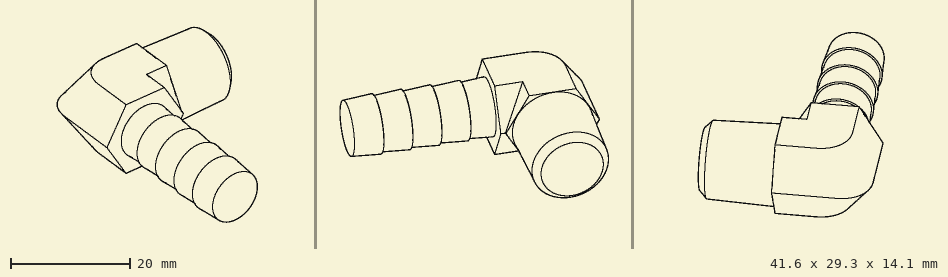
import cadquery as cq
import math

overall_x = 41.55
overall_y = 29.25
hex_flats = 14.1
hex_corner_radius = hex_flats / math.sqrt(3)

hose_leg_end = 8.95
thread_leg_end = 8.3
bend_setback = 5.5
bend_radius = bend_setback * 2 / math.sqrt(3)

thread_end = overall_y - hex_corner_radius
thread_base_radius = 7.0
thread_tip_radius = 6.65
thread_chamfer = 1.25

hose_end = overall_x - hex_corner_radius
barb_count = 4
barb_pitch = 5.03
barb_large_radius = 5.15
barb_small_radius = 4.78


def hexagonal_leg(end):
    """Hexagonal bar along X, with flats facing +Z and -Z."""
    start = -hex_corner_radius
    bar = cq.Workplane("YZ", origin=(start, 0, 0)).polygon(6, 2 * hex_corner_radius)
    return bar.extrude(end - start)


def mitred_leg(end):
    """Hexagonal leg along X cut by the vertical mitre plane x = y."""
    reach = 2 * hose_leg_end
    keep = (
        cq.Workplane("XY", origin=(0, 0, -hex_flats))
        .polyline([(-reach, -reach), (reach, -reach), (reach, reach)])
        .close()
        .extrude(2 * hex_flats)
    )
    return hexagonal_leg(end).intersect(keep)


def elbow_body():
    hose_leg = mitred_leg(hose_leg_end)
    thread_leg = mitred_leg(thread_leg_end).rotate((0, 0, 0), (1, 1, 0), 180)
    body = hose_leg.union(thread_leg)
    flat_half_width = hex_corner_radius / 2
    outer_mitre_edges = cq.selectors.BoxSelector(
        (-hex_corner_radius, -hex_corner_radius, -hex_flats),
        (-flat_half_width, -flat_half_width, hex_flats),
    )
    return body.edges(outer_mitre_edges).fillet(bend_radius)


def thread_stub():
    profile = [
        (0, thread_leg_end),
        (thread_base_radius, thread_leg_end),
        (thread_tip_radius, thread_end - thread_chamfer),
        (thread_tip_radius - thread_chamfer, thread_end),
        (0, thread_end),
    ]
    return cq.Workplane("XY").polyline(profile).close().revolve(360, (0, 0), (0, 1))


def hose_tail():
    profile = [(hose_end - (barb_count + 1) * barb_pitch, 0)]
    for barb in range(barb_count, -1, -1):
        tip = hose_end - barb * barb_pitch
        profile.append((tip - barb_pitch, barb_large_radius))
        profile.append((tip, barb_small_radius))
    profile.append((hose_end, 0))
    return cq.Workplane("XY").polyline(profile).close().revolve(360, (0, 0), (1, 0))


result = elbow_body().union(thread_stub()).union(hose_tail())